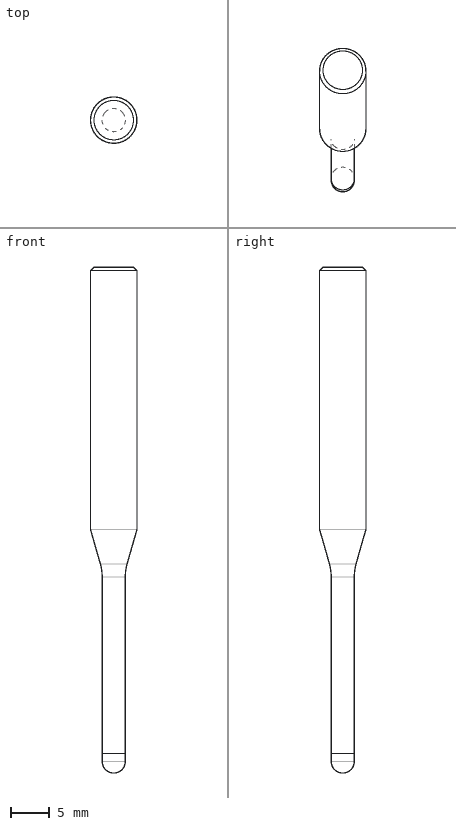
import cadquery as cq
import math

total_length = 65.0
shank_diameter = 6.0
tool_diameter = 3.0
head_length = 2.55
taper_top = 31.25
taper_half_angle = math.radians(16)
blend_radius = 6.0
chamfer_size = 0.45

shank_radius = shank_diameter / 2
tool_radius = tool_diameter / 2


def point_on_blend(angle, blend_bottom):
    """Point on the concave blend, where angle is its tilt away from the axis."""
    return (
        tool_radius + blend_radius * (1 - math.cos(angle)),
        blend_bottom + blend_radius * math.sin(angle),
    )


def make_holder():
    """Revolved shank, taper and neck, with a blend tangent to taper and neck."""
    blend_rise = blend_radius * math.sin(taper_half_angle)
    blend_step = blend_radius * (1 - math.cos(taper_half_angle))
    cone_height = (shank_radius - tool_radius - blend_step) / math.tan(taper_half_angle)
    blend_bottom = taper_top - cone_height - blend_rise
    return (
        cq.Workplane("XZ")
        .moveTo(0, head_length)
        .lineTo(tool_radius, head_length)
        .lineTo(tool_radius, blend_bottom)
        .threePointArc(
            point_on_blend(taper_half_angle / 2, blend_bottom),
            point_on_blend(taper_half_angle, blend_bottom),
        )
        .lineTo(shank_radius, taper_top)
        .lineTo(shank_radius, total_length)
        .lineTo(0, total_length)
        .close()
        .revolve(360, (0, 0), (0, 1))
        .faces(">Z")
        .chamfer(chamfer_size)
    )


def make_ball_head():
    """Hemispherical tip with a short cylinder that meets the neck."""
    arc_share = math.sqrt(0.5)
    return (
        cq.Workplane("XZ")
        .moveTo(0, 0)
        .threePointArc(
            (tool_radius * arc_share, tool_radius * (1 - arc_share)),
            (tool_radius, tool_radius),
        )
        .lineTo(tool_radius, head_length)
        .lineTo(0, head_length)
        .close()
        .revolve(360, (0, 0), (0, 1))
    )


holder = make_holder()
ball_head = make_ball_head()
result = cq.Compound.makeCompound([holder.val(), ball_head.val()])